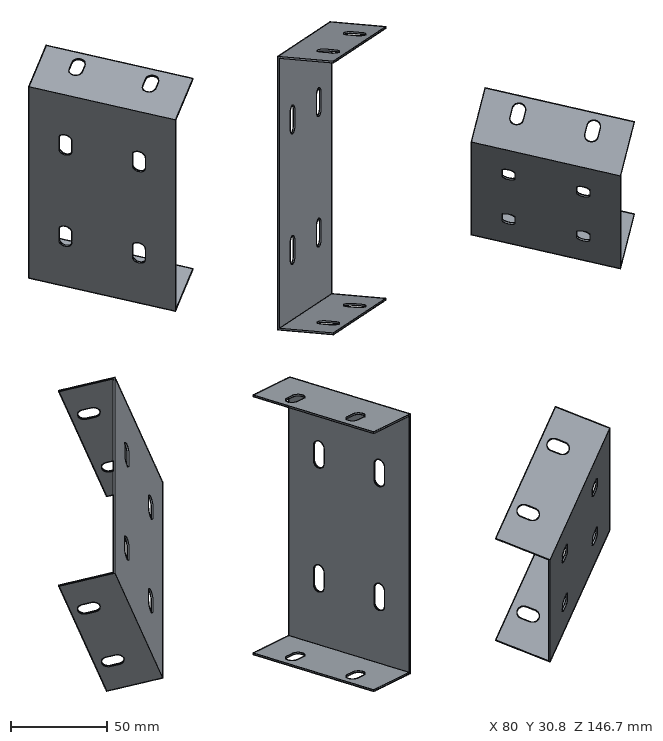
import cadquery as cq

width = 80.0
depth = 30.8
height = 146.7
sheet = 1.0

slot_width = 7.0
slot_spacing = 40.0
plate_slot_length = 15.3
plate_slot_spacing = 70.0
flange_slot_length = 12.0
flange_slot_from_edge = 10.0


def slot_cutter(plane, centres, length, through):
    """Upright slots on a plane, cut symmetrically to both sides of it."""
    return (
        cq.Workplane(plane)
        .pushPoints(centres)
        .slot2D(length, slot_width, 90)
        .extrude(through, both=True)
    )


outer = cq.Workplane("XY").box(width, depth, height)
inner = (
    cq.Workplane("XY")
    .box(width, depth, height - 2 * sheet)
    .translate((0, sheet, 0))
)
bracket = outer.cut(inner)

slot_columns = (-slot_spacing / 2, slot_spacing / 2)
slot_rows = (-plate_slot_spacing / 2, plate_slot_spacing / 2)
plate_centres = [(x, z) for x in slot_columns for z in slot_rows]
plate_slots = slot_cutter("XZ", plate_centres, plate_slot_length, depth)

flange_slot_y = depth / 2 - flange_slot_from_edge
flange_centres = [(x, flange_slot_y) for x in slot_columns]
flange_slots = slot_cutter("XY", flange_centres, flange_slot_length, height)

result = bracket.cut(plate_slots).cut(flange_slots)